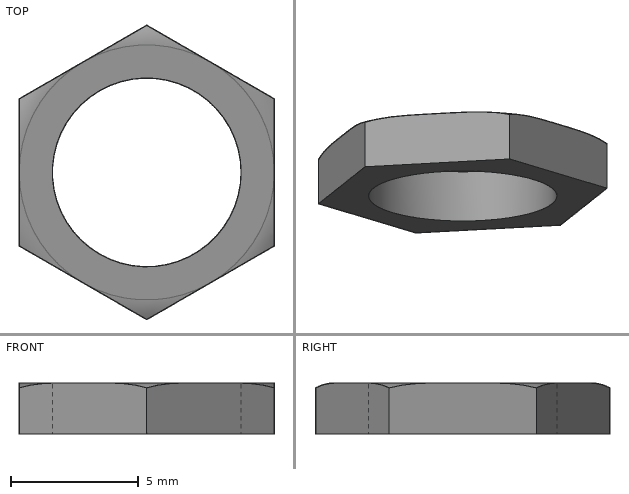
import cadquery as cq
import math

ACROSS_FLATS = 10.0
THICKNESS = 2.01
BORE_DIAMETER = 7.39
CORNER_ROUND = 1.6

HEX_SIDES = 6
ACROSS_CORNERS = ACROSS_FLATS / math.cos(math.pi / HEX_SIDES)
CORNER_RADIUS = ACROSS_CORNERS / 2
TOP_FACE_RADIUS = ACROSS_FLATS / 2
CORNER_REACH = CORNER_RADIUS - TOP_FACE_RADIUS


def round_drop(reach):
    """Depth of the rounding below the top face at a distance outside the top circle."""
    return CORNER_ROUND - math.sqrt(CORNER_ROUND**2 - reach**2)


def hex_blank():
    """Hexagonal prism standing on Z = 0, with corners on the Y axis."""
    prism = cq.Workplane("XY").polygon(HEX_SIDES, ACROSS_CORNERS).extrude(THICKNESS)
    return prism.rotate((0, 0, 0), (0, 0, 1), 90)


def rounding_envelope():
    """Turned body whose curved shoulder rounds the six upper corners."""
    arc_middle = (
        TOP_FACE_RADIUS + CORNER_REACH / 2,
        THICKNESS - round_drop(CORNER_REACH / 2),
    )
    corner_height = THICKNESS - round_drop(CORNER_REACH)
    return (
        cq.Workplane("XZ")
        .lineTo(ACROSS_CORNERS, 0)
        .lineTo(ACROSS_CORNERS, corner_height)
        .lineTo(CORNER_RADIUS, corner_height)
        .threePointArc(arc_middle, (TOP_FACE_RADIUS, THICKNESS))
        .lineTo(0, THICKNESS)
        .close()
        .revolve(360, (0, 0, 0), (0, 1, 0))
    )


def bore():
    """Plain through hole on the nut axis."""
    return cq.Workplane("XY").circle(BORE_DIAMETER / 2).extrude(THICKNESS)


result = hex_blank().intersect(rounding_envelope()).cut(bore())